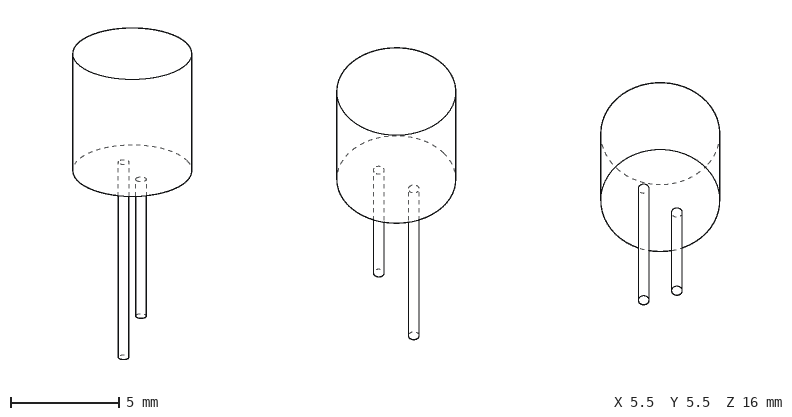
import cadquery as cq

total_height = 16.0
can_diameter = 5.5
can_height = 6.0

lead_diameter = 0.5
lead_spacing = 2.0
long_lead_length = total_height - can_height
short_lead_length = 7.0


def make_can():
    """Plain cylinder with its underside at Z = 0."""
    return cq.Workplane("XY").circle(can_diameter / 2).extrude(can_height)


def make_lead(x, length):
    """Straight round wire that touches the underside of the can."""
    return cq.Workplane("XY").center(x, 0).circle(lead_diameter / 2).extrude(-length)


can = make_can()

lead_layout = [
    (-lead_spacing / 2, long_lead_length),
    (lead_spacing / 2, short_lead_length),
]
leads = [make_lead(x, length) for x, length in lead_layout]

result = cq.Compound.makeCompound([can.val(), *[lead.val() for lead in leads]])